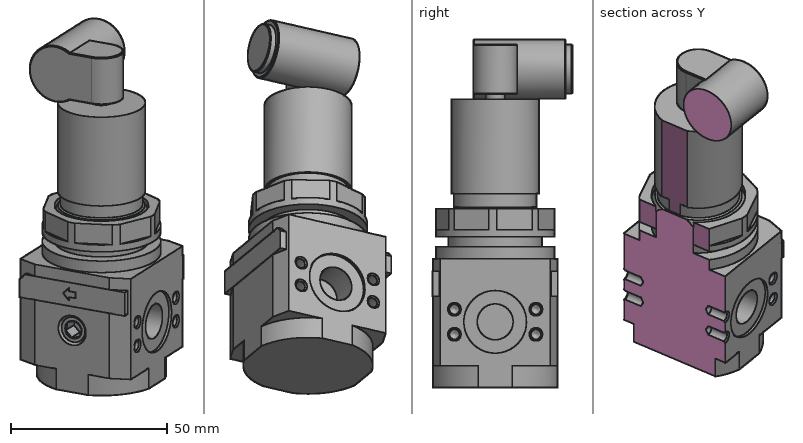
import cadquery as cq
import math


block_half = 20.0
block_half_depth = 19.9
block_top = 41.2
bevel_along_x = 6.6
bevel_along_y = 2.3
base_height = 7.0
base_diameter = 41.5

flange_diameter = 38.0
flange_top = 45.1
neck_diameter = 30.0
neck_lead_in_width = 1.1
neck_lead_in_height = 1.9

strip_half_length = 19.0
strip_half_depth = 20.0
strip_bottom = 29.2
strip_top = 37.2
strip_corner = 1.9
strip_inner_face = block_half_depth - bevel_along_y

arrow_tip_x = -3.2
arrow_head_x = -1.1
arrow_tail_x = 1.2
arrow_head_half = 2.1
arrow_shaft_half = 1.0
arrow_depth = 0.1

port_height = 21.0
port_seat_diameter = 20.0
port_seat_depth = 1.0
port_bore_diameter = 11.5
port_bore_depth = 11.1

screw_hole_diameter = 3.2
screw_mouth_diameter = 4.2
screw_hole_depth = 6.7
screw_spacing_y = 26.0
screw_spacing_z = 8.0
drill_tip_angle = 118.0

gauge_mouth_diameter = 10.0
gauge_seat_diameter = 8.5
gauge_socket_across_corners = 6.0
gauge_socket_sides = 6
gauge_socket_turn = -15.0
gauge_socket_depth = 6.7

nut_bottom = 48.2
nut_flat_bottom = 50.5
nut_top = 57.2
nut_across_flats = 36.0
nut_sides = 8
nut_turn = 20.0
neck_top = nut_top

pilot_spigot_diameter = 23.5
pilot_foot_diameter = 26.5
pilot_foot_bottom = 57.7
pilot_foot_top = 62.0
pilot_diameter = 28.0
pilot_top = 92.2

arm_radius = 7.0
barrel_diameter = 19.0
barrel_left = -22.5
barrel_top = 111.3
barrel_x = barrel_left + barrel_diameter / 2
barrel_z = barrel_top - barrel_diameter / 2
barrel_front = -arm_radius
barrel_back = 22.6
collet_diameter = 15.8
collet_back = 24.7
arm_height = 16.0
stem_diameter = 6.0
edge_chamfer = 0.3


def cylinder(diameter, bottom, top):
    """Upright cylinder on the valve axis."""
    return cq.Workplane("XY").workplane(offset=bottom).circle(diameter / 2).extrude(top - bottom)


def revolved_cutter(profile, origin, inward):
    """Turned cutter: (depth, radius) points revolved about a line that enters the part at origin."""
    depth_axis = cq.Vector(*inward)
    radius_axis = cq.Vector(0, 0, 1)
    plane = cq.Plane(origin=origin, xDir=depth_axis.toTuple(), normal=depth_axis.cross(radius_axis).toTuple())
    return cq.Workplane(plane).polyline(profile).close().revolve(360, (0, 0), (1, 0))


def make_block():
    """Square block with bevelled corners, and round corners in the base."""
    bevel_x = block_half - bevel_along_x
    bevel_y = block_half_depth - bevel_along_y
    outline = [
        (block_half, -bevel_y), (block_half, bevel_y),
        (bevel_x, block_half_depth), (-bevel_x, block_half_depth),
        (-block_half, bevel_y), (-block_half, -bevel_y),
        (-bevel_x, -block_half_depth), (bevel_x, -block_half_depth),
    ]
    upper = cq.Workplane("XY").workplane(offset=base_height).polyline(outline).close()
    upper = upper.extrude(block_top - base_height)
    base_square = cq.Workplane("XY").rect(2 * block_half, 2 * block_half_depth).extrude(base_height)
    base = base_square.intersect(cylinder(base_diameter, 0, base_height))
    return upper.union(base)


def make_strip(side):
    """Label strip on the front (side = -1) or the back (side = 1) face."""
    outline = [
        (-strip_half_length, strip_bottom), (strip_half_length, strip_bottom),
        (strip_half_length, strip_top), (-strip_half_length + strip_corner, strip_top),
        (-strip_half_length, strip_top - strip_corner),
    ]
    strip = cq.Workplane("XZ", origin=(0, strip_inner_face, 0)).polyline(outline).close()
    strip = strip.extrude(strip_inner_face - strip_half_depth)
    return strip if side > 0 else strip.mirror("XZ")


def make_arrow_cutter():
    middle = (strip_bottom + strip_top) / 2
    outline = [
        (arrow_tip_x, middle),
        (arrow_head_x, middle + arrow_head_half), (arrow_head_x, middle + arrow_shaft_half),
        (arrow_tail_x, middle + arrow_shaft_half), (arrow_tail_x, middle - arrow_shaft_half),
        (arrow_head_x, middle - arrow_shaft_half), (arrow_head_x, middle - arrow_head_half),
    ]
    return cq.Workplane("XZ", origin=(0, -strip_half_depth, 0)).polyline(outline).close().extrude(-arrow_depth)


def make_main_port_cutter(side):
    """Seat, bore and four screw holes of the port on the -X (side = -1) or +X (side = 1) face."""
    face_x = side * block_half
    inward = (-side, 0, 0)
    seat_radius = port_seat_diameter / 2
    bore_radius = port_bore_diameter / 2
    port_profile = [
        (0, 0), (0, seat_radius), (port_seat_depth, seat_radius), (port_seat_depth, bore_radius),
        (port_bore_depth, bore_radius), (port_bore_depth, 0),
    ]
    cutter = revolved_cutter(port_profile, (face_x, 0, port_height), inward)

    hole_radius = screw_hole_diameter / 2
    mouth_radius = screw_mouth_diameter / 2
    tip_length = hole_radius / math.tan(math.radians(drill_tip_angle / 2))
    screw_profile = [
        (0, 0), (0, mouth_radius), (mouth_radius - hole_radius, hole_radius),
        (screw_hole_depth, hole_radius), (screw_hole_depth + tip_length, 0),
    ]
    for y in (-screw_spacing_y / 2, screw_spacing_y / 2):
        for dz in (-screw_spacing_z / 2, screw_spacing_z / 2):
            cutter = cutter.union(revolved_cutter(screw_profile, (face_x, y, port_height + dz), inward))
    return cutter


def make_gauge_port_cutter():
    """Countersunk seat with a hexagon socket whose mouth is turned to a cone."""
    mouth_radius = gauge_mouth_diameter / 2
    seat_radius = gauge_seat_diameter / 2
    seat_depth = mouth_radius - seat_radius
    corner_radius = gauge_socket_across_corners / 2
    flat_radius = corner_radius * math.cos(math.pi / gauge_socket_sides)
    cone_depth = seat_depth + corner_radius - flat_radius
    profile = [
        (0, 0), (0, mouth_radius), (seat_depth, seat_radius), (seat_depth, corner_radius),
        (cone_depth, flat_radius), (cone_depth, 0),
    ]
    seat = revolved_cutter(profile, (0, -block_half_depth, port_height), (0, 1, 0))
    socket = cq.Workplane("XZ", origin=(0, -block_half_depth, port_height))
    socket = socket.polygon(gauge_socket_sides, gauge_socket_across_corners).extrude(-gauge_socket_depth)
    socket = socket.rotate((0, 0, port_height), (0, 1, port_height), gauge_socket_turn)
    return seat.union(socket)


def make_housing():
    neck = cylinder(neck_diameter, flange_top, neck_top)
    neck = neck.faces(">Z").chamfer(neck_lead_in_height, neck_lead_in_width)
    housing = make_block().union(cylinder(flange_diameter, block_top, flange_top)).union(neck)
    for side in (-1, 1):
        housing = housing.union(make_strip(side))
        housing = housing.cut(make_main_port_cutter(side))
    return housing.cut(make_gauge_port_cutter()).cut(make_arrow_cutter())


def make_nut():
    """Ring nut with eight flats above a round collar."""
    nut = cylinder(flange_diameter, nut_bottom, nut_top)
    half_side_angle = 180 / nut_sides
    across_corners = nut_across_flats / math.cos(math.radians(half_side_angle))
    octagon = cq.Workplane("XY").workplane(offset=nut_flat_bottom).polygon(nut_sides, across_corners)
    octagon = octagon.extrude(nut_top - nut_flat_bottom)
    octagon = octagon.rotate((0, 0, 0), (0, 0, 1), nut_turn - half_side_angle)
    collar = cylinder(flange_diameter, nut_bottom, nut_flat_bottom)
    nut = nut.intersect(octagon.union(collar))
    return nut.cut(cylinder(neck_diameter, nut_bottom, nut_top))


def make_pilot():
    """Pilot cylinder standing on the neck on a narrow spigot."""
    spigot = cylinder(pilot_spigot_diameter, neck_top, pilot_foot_bottom)
    foot = cylinder(pilot_foot_diameter, pilot_foot_bottom, pilot_foot_top)
    return spigot.union(foot).union(cylinder(pilot_diameter, pilot_foot_top, pilot_top))


def make_elbow():
    """Barrel, arm, release collet and the stem that stands on the pilot cylinder."""
    barrel_plane = cq.Workplane("XZ", origin=(barrel_x, barrel_front, barrel_z))
    barrel = barrel_plane.circle(barrel_diameter / 2).extrude(barrel_front - barrel_back)
    arm_bottom = barrel_z - arm_height / 2
    arm = (
        cq.Workplane("XY", origin=(0, 0, arm_bottom))
        .moveTo(barrel_x, -arm_radius)
        .lineTo(0, -arm_radius)
        .threePointArc((arm_radius, 0), (0, arm_radius))
        .lineTo(barrel_x, arm_radius)
        .close()
        .extrude(arm_height)
    )
    elbow = barrel.union(arm)
    elbow = elbow.faces("<Y or >Y").edges().chamfer(edge_chamfer)
    collet_plane = cq.Workplane("XZ", origin=(barrel_x, barrel_back, barrel_z))
    collet = collet_plane.circle(collet_diameter / 2).extrude(barrel_back - collet_back)
    collet = collet.faces(">Y").edges().chamfer(edge_chamfer)
    return elbow.union(collet).union(cylinder(stem_diameter, pilot_top, arm_bottom))


housing = make_housing()
nut = make_nut()
pilot = make_pilot()
elbow = make_elbow()

result = cq.Compound.makeCompound([housing.val(), nut.val(), pilot.val(), elbow.val()])